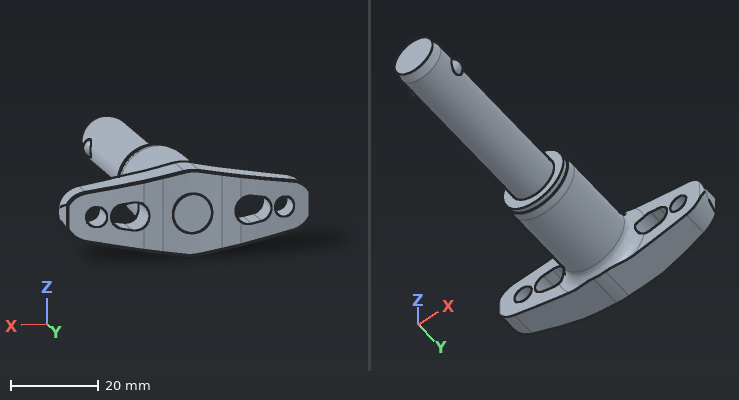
import cadquery as cq
import math


shaft_radius = 6.0
shaft_length = 45.5
tip_radius = 5.5
tip_taper_length = 2.5
ball_radius = 2.25
ball_protrusion = 1.2
ball_to_tip = 8.5

collar_radius = 9.1
lip_radius = 8.7
lip_length = 1.4
taper_end_radius = 8.95
taper_length = 2.2
flare_radius = 3.4

handle_length = 59.1
handle_width = 20.16
side_angle = math.radians(10)

total_length = 80.7
button_height = 0.28
button_radius = 4.6
crown_radius = 110.0
crown_rise = 0.6
underside_radius = 460.0
handle_depth = 8.7
corner_radius = 1.0
end_slant = 0.8
saddle_half = 7.0
saddle_depth = 0.32
top_edge_chamfer = 0.3
underside_overlap = 1.0

round_hole_radius = 2.35
round_hole_x = 22.2
slot_inner_radius = 3.3
slot_inner_x = 13.5
slot_outer_x = 16.05

center_tolerance = 0.01

button_top_y = total_length - shaft_length
crest_y = button_top_y - button_height
underside_y = crest_y - handle_depth
tip_y = -shaft_length
half_length = handle_length / 2
half_width = handle_width / 2
plate_half = half_width + flare_radius
end_x = (half_length - half_width) / (1 - math.sin(side_angle))
end_arc_radius = half_length - end_x


def on_circle(center_x, radius, angle):
    """Point on a circle centred on the X axis of the outline plane."""
    return (center_x + radius * math.cos(angle), radius * math.sin(angle))


def outline_plane(y_top):
    """Plane at height y_top, drawn in X and Z, that extrudes towards -Y."""
    return cq.Workplane("XZ", origin=(0, y_top, 0))


def handle_outline():
    """Prism of the lens-shaped outline: straight sides tangent to a crest arc and two end arcs."""
    tangent = math.pi / 2 - side_angle
    right_top = on_circle(end_x, end_arc_radius, tangent)
    right_low = on_circle(end_x, end_arc_radius, -tangent)
    left_top = on_circle(-end_x, end_arc_radius, math.pi - tangent)
    left_low = on_circle(-end_x, end_arc_radius, math.pi + tangent)
    return (
        outline_plane(button_top_y)
        .moveTo(*on_circle(0, half_width, math.pi - tangent))
        .threePointArc((0, half_width), on_circle(0, half_width, tangent))
        .lineTo(*right_top)
        .threePointArc((half_length, 0), right_low)
        .lineTo(*on_circle(0, half_width, -tangent))
        .threePointArc((0, -half_width), on_circle(0, half_width, math.pi + tangent))
        .lineTo(*left_low)
        .threePointArc((-half_length, 0), left_top)
        .close()
        .extrude(total_length)
    )


def handle_profile():
    """Extruded side profile: saddle, flats, crowned shoulders, slanted ends and hollow underside."""
    crown_center_y = crest_y + crown_rise - crown_radius
    flat_half = math.sqrt(crown_radius**2 - (crown_radius - crown_rise) ** 2)
    top_x = half_length - end_slant

    def crown_y(x):
        return crown_center_y + math.sqrt(crown_radius**2 - x**2)

    def underside(x):
        return underside_y + math.sqrt(underside_radius**2 - x**2) - underside_radius

    shoulder_x = (flat_half + top_x) / 2
    corner_x = half_length - corner_radius
    corner_y = underside(corner_x)
    bend = corner_radius * math.sqrt(0.5)
    bend_point = (corner_x + bend, corner_y + corner_radius - bend)
    return (
        cq.Workplane("XY", origin=(0, 0, -plate_half))
        .moveTo(-flat_half, crest_y)
        .lineTo(-saddle_half, crest_y)
        .threePointArc((0, crest_y - saddle_depth), (saddle_half, crest_y))
        .lineTo(flat_half, crest_y)
        .threePointArc((shoulder_x, crown_y(shoulder_x)), (top_x, crown_y(top_x)))
        .lineTo(half_length, corner_y + corner_radius)
        .threePointArc(bend_point, (corner_x, corner_y))
        .threePointArc((0, underside_y), (-corner_x, corner_y))
        .threePointArc((-bend_point[0], bend_point[1]), (-half_length, corner_y + corner_radius))
        .lineTo(-top_x, crown_y(top_x))
        .threePointArc((-shoulder_x, crown_y(shoulder_x)), (-flat_half, crest_y))
        .close()
        .extrude(2 * plate_half)
    )


def is_top_rim(edge):
    """True for the edges where the top of the handle meets its sides and slanted ends."""
    center = edge.Center()
    near_top = center.y > crest_y - handle_depth / 2
    crosses_top = abs(center.z) < center_tolerance and abs(center.x) < half_length - 2 * end_slant
    return near_top and not crosses_top


def handle_body():
    """Handle blended into the collar barrel, cut to its outline and chamfered around the top."""
    barrel_start_y = lip_length + taper_length
    barrel = (
        outline_plane(underside_y + underside_overlap)
        .circle(collar_radius)
        .extrude(underside_y + underside_overlap - barrel_start_y)
    )
    body = handle_profile().union(barrel)
    root_reach = collar_radius + underside_overlap
    barrel_root = cq.selectors.BoxSelector(
        (-root_reach, underside_y - underside_overlap, -root_reach),
        (root_reach, underside_y + underside_overlap, root_reach),
    )
    body = body.edges(barrel_root).fillet(flare_radius)
    body = body.intersect(handle_outline())
    top_edges = body.edges().filter(is_top_rim)
    return top_edges.chamfer(top_edge_chamfer)


def turned_pin():
    """Turned core: tapered tip, shaft, collar lip and the taper up to the barrel."""
    return (
        cq.Workplane("XY")
        .moveTo(0, tip_y)
        .lineTo(tip_radius, tip_y)
        .lineTo(shaft_radius, tip_y + tip_taper_length)
        .lineTo(shaft_radius, 0)
        .lineTo(lip_radius, 0)
        .lineTo(lip_radius, lip_length)
        .lineTo(taper_end_radius, lip_length)
        .lineTo(collar_radius, lip_length + taper_length)
        .lineTo(0, lip_length + taper_length)
        .close()
        .revolve(360, (0, 0, 0), (0, 1, 0))
    )


def lock_ball(side):
    """Locking ball standing out of the shaft on one side."""
    center_x = side * (shaft_radius + ball_protrusion - ball_radius)
    return cq.Workplane("XY").sphere(ball_radius).translate((center_x, tip_y + ball_to_tip, 0))


def handle_holes(side):
    """Round hole and egg-shaped slot through one wing of the handle."""
    depth = button_height + handle_depth + flare_radius
    tangent = math.pi / 2 - side_angle
    outer_radius = slot_inner_radius - (slot_outer_x - slot_inner_x) * math.sin(side_angle)
    slot = (
        outline_plane(button_top_y)
        .moveTo(*on_circle(slot_inner_x, slot_inner_radius, tangent))
        .lineTo(*on_circle(slot_outer_x, outer_radius, tangent))
        .threePointArc(
            (slot_outer_x + outer_radius, 0),
            on_circle(slot_outer_x, outer_radius, -tangent),
        )
        .lineTo(*on_circle(slot_inner_x, slot_inner_radius, -tangent))
        .threePointArc(
            (slot_inner_x - slot_inner_radius, 0),
            on_circle(slot_inner_x, slot_inner_radius, tangent),
        )
        .close()
        .extrude(depth)
    )
    hole = outline_plane(button_top_y).center(round_hole_x, 0).circle(round_hole_radius).extrude(depth)
    holes = slot.union(hole)
    if side < 0:
        holes = holes.mirror("YZ")
    return holes


def release_button():
    """Round release button standing in the saddle, sunk a little below its floor."""
    depth = button_height + 2 * saddle_depth
    return outline_plane(button_top_y).circle(button_radius).extrude(depth)


result = handle_body().union(turned_pin()).union(release_button())
for side in (-1, 1):
    result = result.union(lock_ball(side))
    result = result.cut(handle_holes(side))